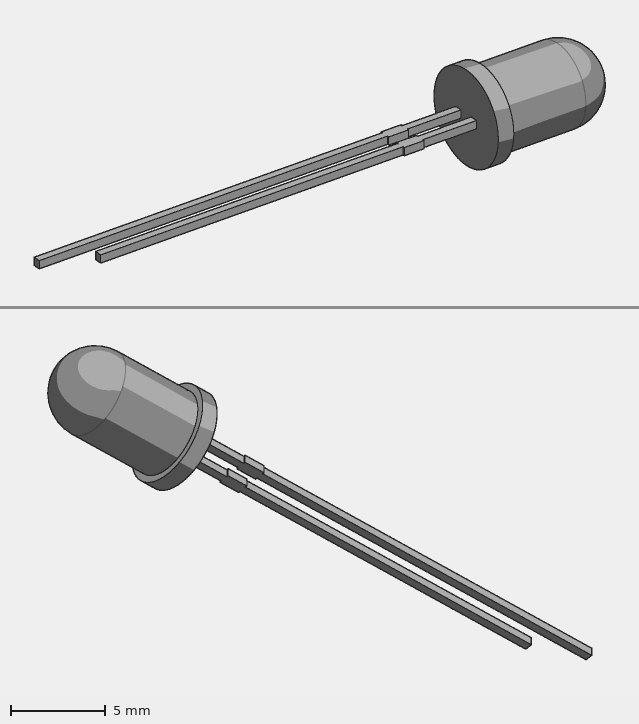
import cadquery as cq

total_length = 36.0
lens_length = 8.5
lens_radius = 2.502
flange_radius = 2.898
flange_thickness = 1.0

lead_spacing = 1.4
lead_width = 0.45
lead_height = 0.5
short_lead_cutback = 3.0
stop_width = 0.7
stop_length = 1.3
stop_distance = 3.5

long_lead_length = total_length - lens_length
short_lead_length = long_lead_length - short_lead_cutback
dome_base = lens_length - lens_radius


def make_lens():
    """Revolve the half profile of the flange, barrel and hemispherical dome about Y."""
    dome_mid = (lens_radius * 0.5**0.5, dome_base + lens_radius * 0.5**0.5)
    return (
        cq.Workplane("XY")
        .lineTo(flange_radius, 0)
        .lineTo(flange_radius, flange_thickness)
        .lineTo(lens_radius, flange_thickness)
        .lineTo(lens_radius, dome_base)
        .threePointArc(dome_mid, (0, lens_length))
        .close()
        .revolve(360, (0, 0, 0), (0, 1, 0))
    )


def make_lead(center_x, length):
    """Make one lead that starts on the flange face and carries its stop."""
    wire = cq.Workplane("XY").box(lead_width, length, lead_height).translate((0, -length / 2, 0))
    stop_center = -(stop_distance + stop_length / 2)
    stop = cq.Workplane("XY").box(stop_width, stop_length, lead_height).translate((0, stop_center, 0))
    return wire.union(stop).translate((center_x, 0, 0))


lens = make_lens()

leads = []
for side, length in ((-1, long_lead_length), (1, short_lead_length)):
    leads.append(make_lead(side * lead_spacing / 2, length))

result = cq.Compound.makeCompound([lens.val(), *[lead.val() for lead in leads]])